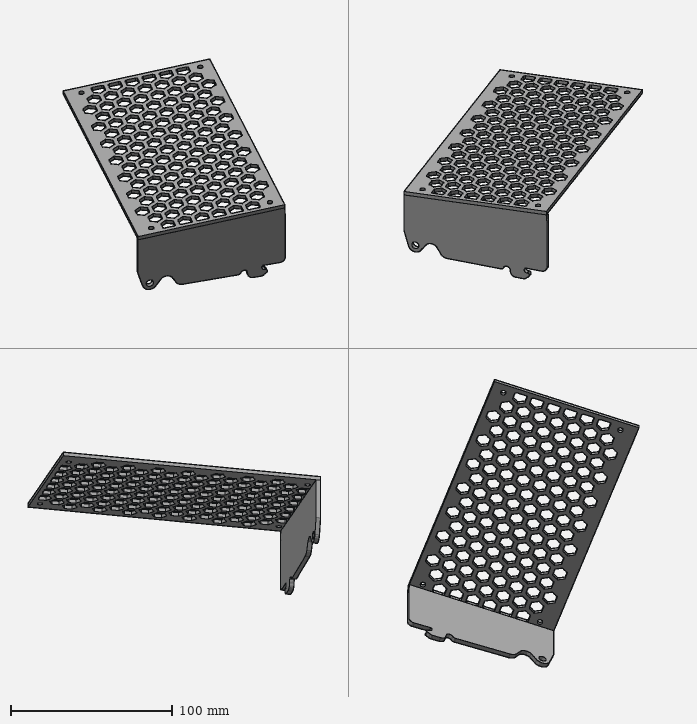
import cadquery as cq
import math

WIDTH = 164.0
DEPTH = 95.1
HEIGHT = 51.2
PLATE_THICKNESS = 2.5
BRACKET_THICKNESS = 3.0
TILT = 3.2

PLATE_DEPTH = 94.8
HEX_FLATS = 8.0
HEX_PITCH = 11.0
COLUMN_PITCH = HEX_PITCH * math.sqrt(3) / 2
LAST_COLUMN = 8
LONG_ROWS = 8
SHORT_ROWS = 7
EDGE_ROWS = 6
END_RIM = 3.0
PATTERN_SHIFT = 1.23
SCREW_HOLE_DIAMETER = 3.3

BACK_CORNER_RADIUS = 3.6
BACK_BOTTOM_Z = 7.9
MIDDLE_BOTTOM_Z = 4.0
HOOK_RADIUS = 3.8
HOOK_FRONT_Y = 23.1

THROAT_START = (33.3, BACK_BOTTOM_Z)
THROAT_MIDDLE = (32.5, 6.0)
THROAT_END = (34.6, 4.8)
TIP_START = (35.3, 4.5)
TIP_MIDDLE = (35.9, 3.3)
TIP_END = (35.5, 2.1)
UNDERSIDE_END = (33.6, 0.7)
HOOK_BOTTOM_START = (32.0, 0)
NOTCH_START = (HOOK_FRONT_Y, 4.3)
NOTCH_TOP = (20.8, 6.5)
NOTCH_END = (18.9, 5.2)
NOTCH_BLEND = (18.0, 4.3)
NOTCH_FRONT_Y = 16.9

ARCH_FOOT_Y = -18.7
ARCH_FOOT_END = (-23.0, 6.0)
ARCH_BACK = (-25.9, 10.8)
ARCH_TOP = (-29.5, 12.3)
ARCH_FRONT = (-32.5, 11.2)

FRONT_SLANT_Z = 17.9
PIVOT_Y = -40.0
PIVOT_Z = 9.0
PIVOT_HOLE_DIAMETER = 4.6
LUG_RADIUS = 4.8
LUG_BACK_ANGLE = -36.0
LUG_FRONT_ANGLE = 196.0

tilt = math.radians(TILT)
front_y = -DEPTH / 2
back_y = DEPTH / 2

plate_back_y = front_y + PLATE_DEPTH
plate_rise = PLATE_DEPTH * math.tan(tilt)
plate_drop = PLATE_THICKNESS / math.cos(tilt)
plate_bottom_back_z = HEIGHT - plate_drop
plate_bottom_front_z = plate_bottom_back_z - plate_rise


def plate_plane():
    """Plane of the underside of the plate, with its origin at the plate centre."""
    centre_y = (front_y + plate_back_y) / 2
    centre_z = (plate_bottom_front_z + plate_bottom_back_z) / 2
    normal = (0, -math.sin(tilt), math.cos(tilt))
    return cq.Plane(origin=(0, centre_y, centre_z), xDir=(1, 0, 0), normal=normal)


def rows_in_column(column):
    if abs(column) == LAST_COLUMN:
        return EDGE_ROWS
    return LONG_ROWS if column % 2 == 0 else SHORT_ROWS


def hexagon_centres():
    centres = []
    for column in range(-LAST_COLUMN, LAST_COLUMN + 1):
        rows = rows_in_column(column)
        for row in range(rows):
            along_slope = (row - (rows - 1) / 2) * HEX_PITCH + PATTERN_SHIFT
            centres.append((column * COLUMN_PITCH, along_slope))
    return centres


def hexagon_cutters():
    """Hexagonal prisms, trimmed so that a solid rim stays at both ends of the plate."""
    corner_diameter = HEX_FLATS * 2 / math.sqrt(3)
    prisms = cq.Workplane(plate_plane()).pushPoints(hexagon_centres()).polygon(6, corner_diameter)
    rim_limit = cq.Workplane(plate_plane()).rect(WIDTH - 2 * END_RIM, PLATE_DEPTH).extrude(PLATE_THICKNESS)
    return prisms.extrude(PLATE_THICKNESS).intersect(rim_limit)


def screw_hole_cutters():
    """Screw holes at the four corners of the hexagon pattern."""
    hole_x = LAST_COLUMN * COLUMN_PITCH
    hole_offset = (LONG_ROWS - 1) / 2 * HEX_PITCH
    centres = [
        (side * hole_x, end * hole_offset + PATTERN_SHIFT)
        for side in (-1, 1)
        for end in (-1, 1)
    ]
    circles = cq.Workplane(plate_plane()).pushPoints(centres).circle(SCREW_HOLE_DIAMETER / 2)
    return circles.extrude(PLATE_THICKNESS)


def make_plate():
    corners = [
        (front_y, plate_bottom_front_z),
        (plate_back_y, plate_bottom_back_z),
        (plate_back_y, plate_bottom_back_z + plate_drop),
        (front_y, plate_bottom_front_z + plate_drop),
    ]
    blank = cq.Workplane("YZ", origin=(-WIDTH / 2, 0, 0)).polyline(corners).close().extrude(WIDTH)
    return blank.cut(hexagon_cutters()).cut(screw_hole_cutters())


def lug_point(angle):
    """Point on the rim of the pivot lug."""
    turn = math.radians(angle)
    return (PIVOT_Y + LUG_RADIUS * math.cos(turn), PIVOT_Z + LUG_RADIUS * math.sin(turn))


def draw_hook(outline):
    """Hook and relief notch, from the back bottom edge to the middle bottom edge."""
    hook_centre_y = HOOK_FRONT_Y + HOOK_RADIUS
    quarter = HOOK_RADIUS * math.sqrt(0.5)
    return (
        outline.lineTo(*THROAT_START)
        .threePointArc(THROAT_MIDDLE, THROAT_END)
        .lineTo(*TIP_START)
        .threePointArc(TIP_MIDDLE, TIP_END)
        .lineTo(*UNDERSIDE_END)
        .tangentArcPoint(HOOK_BOTTOM_START, relative=False)
        .lineTo(hook_centre_y, 0)
        .threePointArc((hook_centre_y - quarter, HOOK_RADIUS - quarter), (HOOK_FRONT_Y, HOOK_RADIUS))
        .lineTo(*NOTCH_START)
        .threePointArc(NOTCH_TOP, NOTCH_END)
        .threePointArc(NOTCH_BLEND, (NOTCH_FRONT_Y, MIDDLE_BOTTOM_Z))
    )


def draw_arch_and_lug(outline):
    """Arch and pivot lug, from the middle bottom edge to the slanted front edge."""
    return (
        outline.lineTo(ARCH_FOOT_Y, MIDDLE_BOTTOM_Z)
        .tangentArcPoint(ARCH_FOOT_END, relative=False)
        .lineTo(*ARCH_BACK)
        .threePointArc(ARCH_TOP, ARCH_FRONT)
        .lineTo(*lug_point(LUG_BACK_ANGLE))
        .threePointArc(lug_point(-90), lug_point(LUG_FRONT_ANGLE))
        .lineTo(front_y, FRONT_SLANT_Z)
    )


def make_bracket():
    back_slant_z = plate_bottom_back_z - (back_y - plate_back_y) / math.tan(tilt)
    corner_inset = BACK_CORNER_RADIUS * (1 - math.sqrt(0.5))

    outline = (
        cq.Workplane("YZ", origin=(WIDTH / 2 - BRACKET_THICKNESS, 0, 0))
        .moveTo(front_y, plate_bottom_front_z)
        .lineTo(plate_back_y, plate_bottom_back_z)
        .lineTo(back_y, back_slant_z)
        .lineTo(back_y, BACK_BOTTOM_Z + BACK_CORNER_RADIUS)
        .threePointArc(
            (back_y - corner_inset, BACK_BOTTOM_Z + corner_inset),
            (back_y - BACK_CORNER_RADIUS, BACK_BOTTOM_Z),
        )
    )
    outline = draw_arch_and_lug(draw_hook(outline))
    sheet = outline.close().extrude(BRACKET_THICKNESS)
    pivot_hole = (
        cq.Workplane("YZ", origin=(WIDTH / 2 - BRACKET_THICKNESS, PIVOT_Y, PIVOT_Z))
        .circle(PIVOT_HOLE_DIAMETER / 2)
        .extrude(BRACKET_THICKNESS)
    )
    return sheet.cut(pivot_hole)


plate = make_plate()
bracket = make_bracket()
result = cq.Compound.makeCompound([plate.val(), bracket.val()])